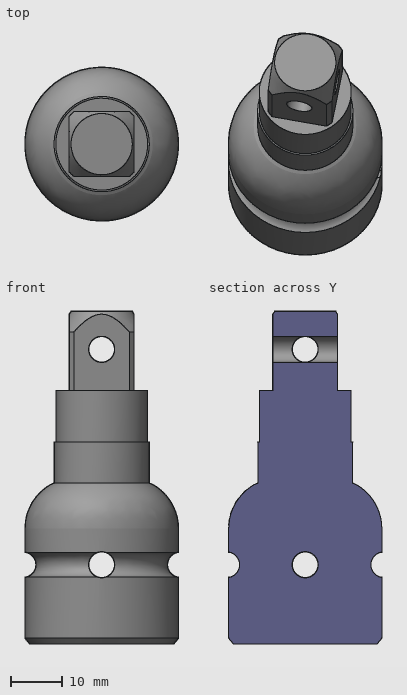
import cadquery as cq
import math

total_height = 65.0
body_radius = 15.0

bevel_width = 1.0
bevel_height = 1.2
groove_bottom = 13.05
groove_height = 4.9
groove_depth = 2.15
groove_top = groove_bottom + groove_height
groove_middle = (groove_bottom + groove_top) / 2
dome_start = 22.5
dome_radius = 10.0
dome_sweep = math.radians(60)

lower_neck_radius = 9.3
lower_neck_start = 31.45
upper_neck_radius = 9.0
upper_neck_start = 39.45

drive_start = 49.5
drive_width = 12.7
drive_corner_chamfer = 0.9
tip_radius = 6.0
tip_cone_angle = math.radians(30)

pin_hole_diameter = 5.0
drive_hole_height = 57.5


def dome_point(angle):
    """Point (radius, height) on the dome arc, at an angle above its tangent start."""
    radius = body_radius - dome_radius * (1 - math.cos(angle))
    return radius, dome_start + dome_radius * math.sin(angle)


def revolved_body():
    """Body and neck, turned about Z."""
    profile = (
        cq.Workplane("XZ")
        .lineTo(body_radius - bevel_width, 0)
        .lineTo(body_radius, bevel_height)
        .lineTo(body_radius, groove_bottom)
        .threePointArc((body_radius - groove_depth, groove_middle), (body_radius, groove_top))
        .lineTo(body_radius, dome_start)
        .threePointArc(dome_point(dome_sweep / 2), dome_point(dome_sweep))
        .lineTo(lower_neck_radius, lower_neck_start)
        .lineTo(lower_neck_radius, upper_neck_start)
        .lineTo(upper_neck_radius, upper_neck_start)
        .lineTo(upper_neck_radius, drive_start)
        .lineTo(0, drive_start)
        .close()
    )
    return profile.revolve(360, (0, 0), (0, 1))


def square_drive():
    """Square drive with chamfered corners and a conical tip."""
    drive_height = total_height - drive_start
    square = (
        cq.Workplane("XY", origin=(0, 0, drive_start))
        .rect(drive_width, drive_width)
        .extrude(drive_height)
        .edges("|Z")
        .chamfer(drive_corner_chamfer)
    )
    cone_base_radius = tip_radius + drive_height * math.tan(tip_cone_angle)
    cone = cq.Workplane(
        cq.Solid.makeCone(cone_base_radius, tip_radius, drive_height, cq.Vector(0, 0, drive_start))
    )
    return square.intersect(cone)


def cross_hole(plane, height):
    """Cylinder through the whole part, normal to the given plane."""
    return (
        cq.Workplane(plane, origin=(0, 0, height))
        .circle(pin_hole_diameter / 2)
        .extrude(body_radius, both=True)
    )


result = revolved_body().union(square_drive())
result = result.cut(cross_hole("XZ", groove_middle))
for hole_plane in ("XZ", "YZ"):
    result = result.cut(cross_hole(hole_plane, drive_hole_height))